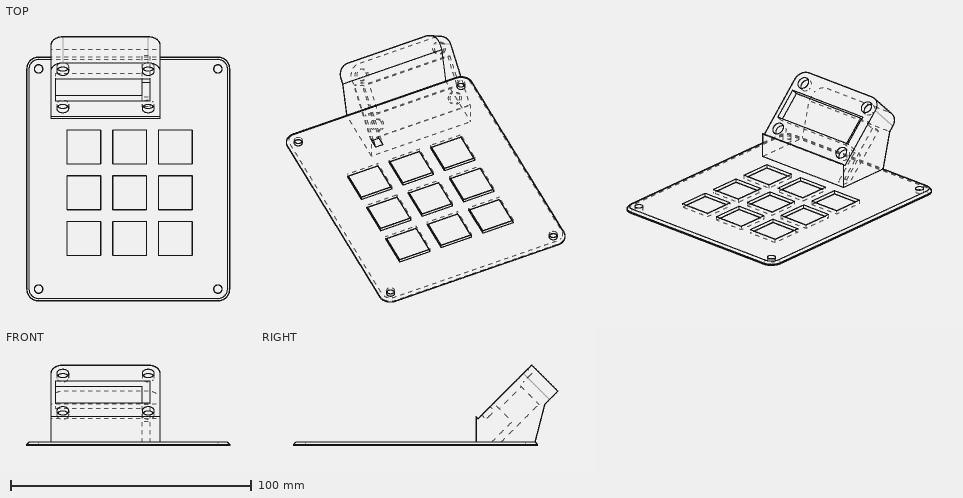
import cadquery as cq
import math

plate_x = 84.5
plate_y = 101.6
plate_thickness = 1.5
corner_radius = 5.0
plate_chamfer = 1.0
screw_hole_diameter = 3.4

key_size = 14.0
key_pitch = 19.0
keys_per_side = 3
key_grid_x = 0.5
key_grid_y = -5.7

overall_y = 110.1
overall_z = 33.6
tilt = 45
housing_x = -9.5
housing_width = 45.5
housing_length = 31.6
housing_depth = 15.4
housing_radius = 5.0

foot_front_y = 25.2
foot_rear_top_z = 17.3

mount_diameter = 5.0
mount_depth = 2.5
mount_spacing_x = housing_width - 2 * housing_radius
mount_spacing_y = 22.0
mount_top_offset = housing_radius

pocket_width = 39.4
pocket_height = 13.0
pocket_depth = 3.3
pocket_side_wall = 1.9
wire_slot_width = 3.3

passage_front_depth = 10.9
passage_rear_depth = 13.6
passage_length = 17.6

lean = math.radians(tilt)
top_edge_y = overall_y - plate_y / 2 - housing_depth * math.sin(lean)
mount_centre_v = -(mount_top_offset + mount_spacing_y / 2)
pocket_left = -housing_width / 2 + pocket_side_wall
pocket_bottom_v = mount_centre_v - pocket_height / 2
wire_slot_left = pocket_left + pocket_width - wire_slot_width

face = cq.Plane(
    origin=(housing_x, top_edge_y, overall_z),
    xDir=(1, 0, 0),
    normal=(0, -math.sin(lean), math.cos(lean)),
)


def face_block(left, bottom, width, height, near, far):
    """Box on the display face, spanning the depths near to far below it."""
    return (
        cq.Workplane(face)
        .workplane(offset=-far)
        .center(left, bottom)
        .rect(width, height, centered=False)
        .extrude(far - near)
    )


def face_point(v, depth):
    """Point on the housing's middle plane, v up the display face and depth below it."""
    y = top_edge_y + v * math.cos(lean) + depth * math.sin(lean)
    z = overall_z + v * math.sin(lean) - depth * math.cos(lean)
    return housing_x, y, z


def make_plate():
    plate = (
        cq.Workplane("XY")
        .box(plate_x, plate_y, plate_thickness, centered=(True, True, False))
        .edges("|Z")
        .fillet(corner_radius)
        .faces(">Z")
        .chamfer(plate_chamfer)
    )
    screw_holes = (
        cq.Workplane("XY")
        .rect(plate_x - 2 * corner_radius, plate_y - 2 * corner_radius, forConstruction=True)
        .vertices()
        .circle(screw_hole_diameter / 2)
        .extrude(plate_thickness)
    )
    key_openings = (
        cq.Workplane("XY")
        .center(key_grid_x, key_grid_y)
        .rarray(key_pitch, key_pitch, keys_per_side, keys_per_side)
        .rect(key_size, key_size)
        .extrude(plate_thickness)
    )
    return plate.cut(screw_holes).cut(key_openings)


def make_housing():
    block = face_block(
        -housing_width / 2, -housing_length, housing_width, housing_length, 0, housing_depth
    )
    upper_end = cq.NearestToPointSelector(face_point(0, housing_depth / 2))
    return block.faces(upper_end).edges("not |X").fillet(housing_radius)


def make_foot():
    """Upright front, lip rising to it, and a rear face leaning out under the housing."""
    _, lip_y, lip_z = face_point(-housing_length, 0)
    _, heel_y, heel_z = face_point(-housing_length, housing_depth)
    front_top_z = lip_z + (lip_y - foot_front_y) / math.tan(lean)
    rear_top_y = heel_y + (foot_rear_top_z - heel_z) / math.tan(lean)
    rear_bottom_y = plate_y / 2 - plate_chamfer
    profile = [
        (foot_front_y, heel_z),
        (foot_front_y, front_top_z),
        (lip_y, lip_z),
        (heel_y, heel_z),
        (rear_top_y, foot_rear_top_z),
        (rear_bottom_y, plate_thickness),
        (rear_bottom_y, heel_z),
    ]
    return (
        cq.Workplane("YZ", origin=(housing_x, 0, 0))
        .polyline(profile)
        .close()
        .extrude(housing_width / 2, both=True)
    )


def make_mount_holes():
    return (
        cq.Workplane(face)
        .center(0, mount_centre_v)
        .rarray(mount_spacing_x, mount_spacing_y, 2, 2)
        .circle(mount_diameter / 2)
        .extrude(-mount_depth)
    )


def make_display_cavity():
    pocket = face_block(pocket_left, pocket_bottom_v, pocket_width, pocket_height, 0, pocket_depth)
    wire_slot = face_block(
        wire_slot_left, pocket_bottom_v, wire_slot_width, pocket_height, 0, passage_rear_depth
    )
    passage = face_block(
        wire_slot_left,
        pocket_bottom_v - passage_length,
        wire_slot_width,
        passage_length,
        passage_front_depth,
        passage_rear_depth,
    )
    return pocket.union(wire_slot).union(passage)


result = (
    make_plate()
    .union(make_foot())
    .union(make_housing())
    .cut(make_mount_holes())
    .cut(make_display_cavity())
)